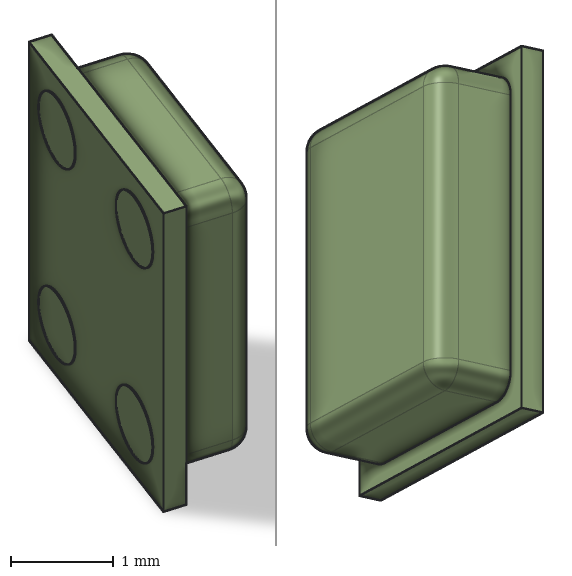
import cadquery as cq

plate_width = 2.95
plate_height = 3.76
plate_thickness = 0.25

lid_margin = 0.2
lid_radius = 0.5 / 2
total_depth = 1.11

pad_diameter = 0.8
pad_thickness = 0.01
pad_spacing_x = 1.7
pad_spacing_z = 2.46

lid_width = plate_width - 2 * lid_margin
lid_height = plate_height - 2 * lid_margin
lid_depth = total_depth - plate_thickness - pad_thickness


def make_plate():
    """Flat plate with its front face on Y = 0."""
    return cq.Workplane("XY").box(
        plate_width, plate_thickness, plate_height, centered=(True, False, True)
    )


def make_lid():
    """Block on the back of the plate, rounded on every edge away from it."""
    block = cq.Workplane("XY").box(
        lid_width, lid_depth, lid_height, centered=(True, False, True)
    )
    return block.edges("not <Y").fillet(lid_radius).translate((0, plate_thickness, 0))


def make_pad(x, z):
    """Thin disc raised from the front face of the plate."""
    return (
        cq.Workplane("XZ")
        .center(x, z)
        .circle(pad_diameter / 2)
        .extrude(pad_thickness)
    )


plate = make_plate()
lid = make_lid()
pads = [
    make_pad(side_x * pad_spacing_x / 2, side_z * pad_spacing_z / 2)
    for side_x in (-1, 1)
    for side_z in (-1, 1)
]

result = cq.Compound.makeCompound([plate.val(), lid.val(), *[pad.val() for pad in pads]])